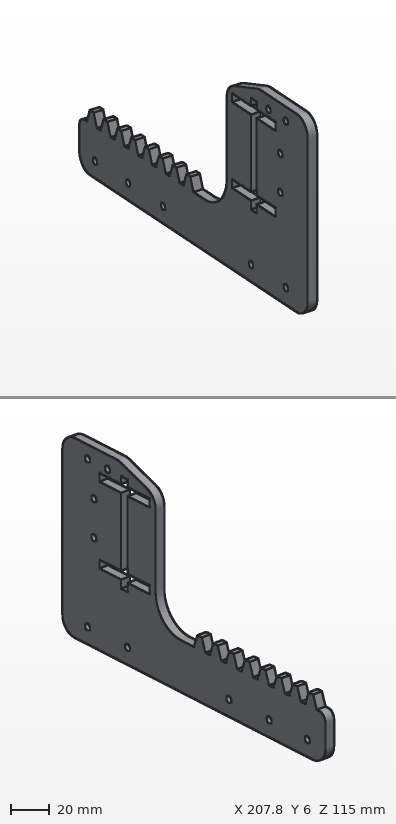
import cadquery as cq
import math

length = 207.8
thickness = 6.0
height = 115.0

arm_height = 30.0
head_left = 134.0
shoulder_x = 163.3
shoulder_z = 104.7
corner_radius = 10.0
arm_tip_radius = corner_radius / 2
inner_radius = 2 * corner_radius

tooth_count = 8
rack_length = 88.0
tooth_pitch = rack_length / (tooth_count - 1)
tooth_height = 7.7
tooth_tip_width = 3.5
pressure_angle = 20.0
first_tooth_x = 11.5

slot_width = 5.0
upright_slot_x = 158.8
upright_slot_bottom = 42.0
upright_slot_top = 106.5
level_slot_length = 39.5
level_slot_heights = (49.7, 99.5)

hole_diameter = 4.0
bottom_hole_z = 10.0
bottom_hole_xs = (14.3, 44.5, 76.3, 156.3, 187.9)
top_hole_z = 106.5
top_hole_xs = (172.0, 187.9)
side_hole_x = 182.9
side_hole_zs = (63.2, 85.6)

depth = -thickness


def make_blank():
    """L-shaped plate with every outline corner rounded."""
    blank = (
        cq.Workplane("XZ")
        .polyline([
            (0, 0),
            (length, 0),
            (length, height),
            (shoulder_x, height),
            (head_left, shoulder_z),
            (head_left, arm_height),
            (0, arm_height),
        ])
        .close()
        .extrude(depth)
    )

    def edge_at(x, z):
        return cq.selectors.NearestToPointSelector((x, thickness / 2, z))

    blank = blank.edges(edge_at(head_left, arm_height)).fillet(inner_radius)
    blank = blank.edges(edge_at(0, arm_height)).fillet(arm_tip_radius)
    outer_corners = [
        (0, 0),
        (length, 0),
        (length, height),
        (shoulder_x, height),
        (head_left, shoulder_z),
    ]
    for x, z in outer_corners:
        blank = blank.edges(edge_at(x, z)).fillet(corner_radius)
    return blank


def make_tooth(center_x):
    """Straight-sided rack tooth, rooted slightly inside the arm."""
    root = arm_height - arm_tip_radius / 2
    tip = arm_height + tooth_height
    half_tip = tooth_tip_width / 2
    flank_run = tooth_height * math.tan(math.radians(pressure_angle))
    half_base = half_tip + flank_run
    return (
        cq.Workplane("XZ")
        .polyline([
            (center_x - half_base, root),
            (center_x + half_base, root),
            (center_x + half_base, arm_height),
            (center_x + half_tip, tip),
            (center_x - half_tip, tip),
            (center_x - half_base, arm_height),
        ])
        .close()
        .extrude(depth)
    )


def make_slots():
    """Cutter for the upright slot and its two level crossing slots."""
    upright_length = upright_slot_top - upright_slot_bottom
    upright_middle = (upright_slot_top + upright_slot_bottom) / 2
    upright = (
        cq.Workplane("XZ")
        .center(upright_slot_x, upright_middle)
        .rect(slot_width, upright_length)
        .extrude(depth)
    )
    level = (
        cq.Workplane("XZ")
        .pushPoints([(upright_slot_x, z) for z in level_slot_heights])
        .rect(level_slot_length, slot_width)
        .extrude(depth)
    )
    return upright.union(level)


def make_holes():
    """Cutter for all the through holes."""
    centers = [(x, bottom_hole_z) for x in bottom_hole_xs]
    centers += [(x, top_hole_z) for x in top_hole_xs]
    centers += [(side_hole_x, z) for z in side_hole_zs]
    return cq.Workplane("XZ").pushPoints(centers).circle(hole_diameter / 2).extrude(depth)


plate = make_blank()
for index in range(tooth_count):
    plate = plate.union(make_tooth(first_tooth_x + index * tooth_pitch))

result = plate.cut(make_slots()).cut(make_holes())